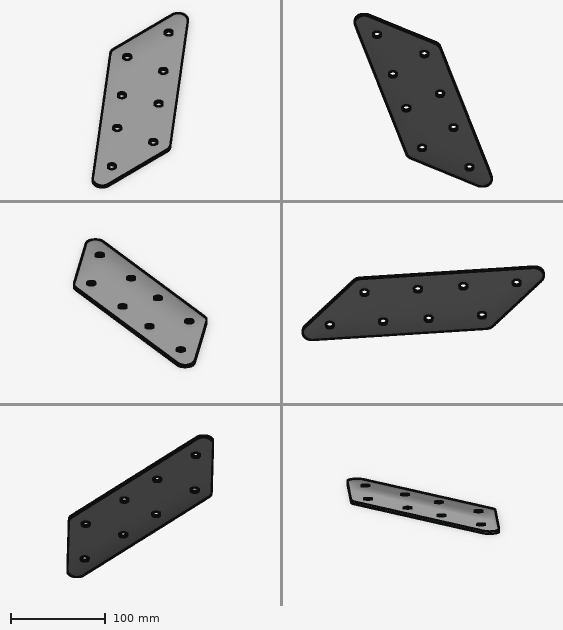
import cadquery as cq
import math

overall_length = 266.3
thickness = 3.0
corner_radius = 10.0
end_side = 79.5
end_angle = 60.0
long_angle = -75.0
hole_diameter = 8.5
pair_spacing = 56.5
inner_pitch = 48.2
outer_pitch = 56.5

end_dir = cq.Vector(math.cos(math.radians(end_angle)), math.sin(math.radians(end_angle)))
long_dir = cq.Vector(math.cos(math.radians(long_angle)), math.sin(math.radians(long_angle)))

long_side = (overall_length - 2 * corner_radius - end_side * end_dir.y) / abs(long_dir.y)


def skew_point(along_end, along_long):
    """Point at the given distances from the centre along the two side directions."""
    return end_dir * along_end + long_dir * along_long


def make_plate():
    """Parallelogram through the corner-arc centres, grown outward with round corners."""
    half_end = end_side / 2
    half_long = long_side / 2
    corners = [
        skew_point(half_end, -half_long),
        skew_point(half_end, half_long),
        skew_point(-half_end, half_long),
        skew_point(-half_end, -half_long),
    ]
    outline = cq.Workplane("XY").polyline([p.toTuple()[:2] for p in corners]).close()
    return outline.offset2D(corner_radius, "arc").extrude(thickness / 2, both=True)


def hole_centres():
    """Two skewed rows of four holes."""
    inner = inner_pitch / 2
    outer = inner + outer_pitch
    return [
        skew_point(across, along).toTuple()[:2]
        for across in (-pair_spacing / 2, pair_spacing / 2)
        for along in (-outer, -inner, inner, outer)
    ]


result = make_plate().faces(">Z").workplane(origin=(0, 0, 0))
result = result.pushPoints(hole_centres()).hole(hole_diameter)